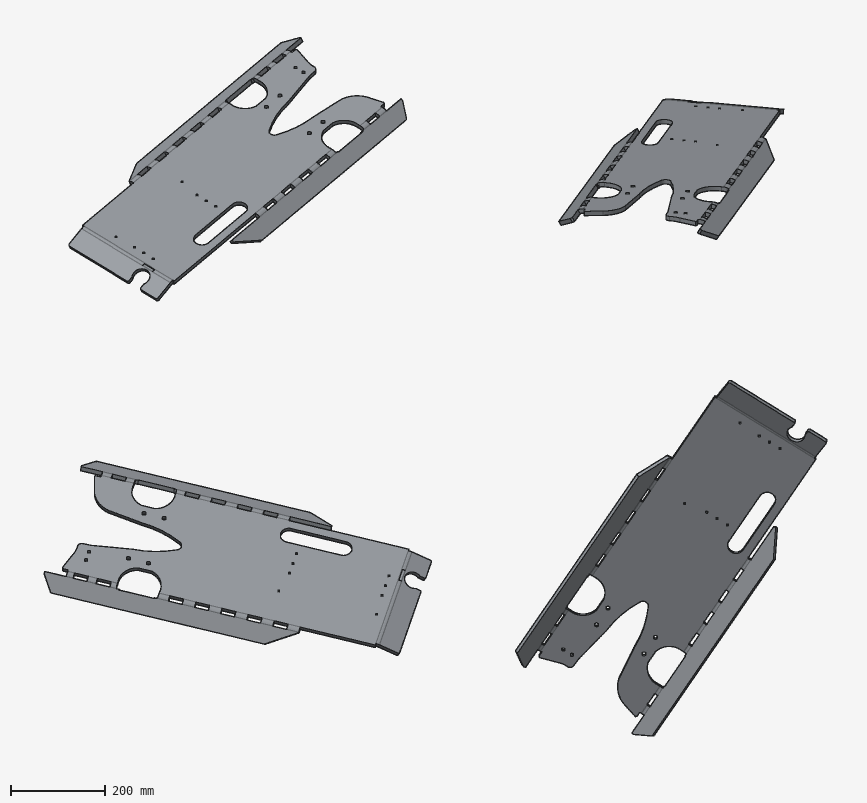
import cadquery as cq
import math


sheet = 10.0
bend_outer_radius = 23.0
wing_angle = 30.0
flange_angle = 20.0

half_length = 389.0
wing_half_span = 175.0

deck_half_width = 127.5
deck_end_y = -337.0
lobe_half_width = 124.0
lobe_root_y = 341.0
lobe_tip_y = 354.5
tip_corner = 2.0

wing_top_y = 365.5
wing_taper_y = -106.0
wing_shoulder = 5.0
left_shoulder = 1.0
slot_length = 30.0
slot_pitch = 57.5
left_slots = [311.0, 260.5] + [101.0 - i * slot_pitch for i in range(5)]
right_slots = [304.0] + [142.0 - i * slot_pitch for i in range(4)]
left_strip_end_y = -171.0
right_strip_end_y = -72.0
right_wing_end_y = -162.5

window_inner_x = 78.0
window_half_height = 46.0
window_flat_half = 15.0
window_corner = 6.0
window_bite = 1.5
left_window_y = 186.0
right_window_y = 223.0

mount_hole = 8.5
mount_hole_x = 60.0
mount_holes_y = (227.0, 183.0)
lobe_hole = 6.8
lobe_holes = [(-89.0, 312.0), (-67.0, 312.0)]
row_hole = 4.6
row_holes_x = (-1.5, 24.0, 50.5)
row_holes_y = (-111.0, -315.0)
pin_hole = 4.05
pin_holes = [(-51.0, -102.0), (-51.0, -317.0)]

handle_center = (91.0, -143.0)
handle_length = 156.0
handle_width = 36.0

flange_half_width = lobe_half_width
flange_corner = 4.0
keyhole_x = 60.0
keyhole_y = -366.0
keyhole_radius = 19.5
neck_half_width = 16.0
neck_corner = 3.0
relief_half_width = 14.0
relief_end_y = -338.0
relief_depth = 1.2


def bend_reach(angle):
    """Horizontal length of the outer face of a bend."""
    return bend_outer_radius * math.sin(math.radians(angle))


def bend_drop(angle):
    """Height lost along the outer face of a bend."""
    return bend_outer_radius * (1 - math.cos(math.radians(angle)))


def bent_strip(plane, angle, length):
    """Curved strip that leaves a flat edge at the plane origin and curls down by `angle`."""

    def on_arc(radius, degrees):
        turn = math.radians(degrees)
        return (radius * math.sin(turn), radius * math.cos(turn) - bend_outer_radius)

    inner_radius = bend_outer_radius - sheet
    return (
        cq.Workplane(plane)
        .moveTo(*on_arc(bend_outer_radius, 0))
        .threePointArc(on_arc(bend_outer_radius, angle / 2), on_arc(bend_outer_radius, angle))
        .lineTo(*on_arc(inner_radius, angle))
        .threePointArc(on_arc(inner_radius, angle / 2), on_arc(inner_radius, 0))
        .close()
        .extrude(length)
    )


def through_cutter(sketch):
    """Prism that passes through the deck and its bends from a closed outline at Z = 0."""
    return sketch.extrude(2 * sheet, both=True)


def round_holes(points, diameter):
    return through_cutter(cq.Workplane("XY").pushPoints(points).circle(diameter / 2))


def make_deck():
    nose = (11.0, 135.0)
    flank_middle = (25.0, 169.0)
    flank_end = (35.0, 225.0)
    return (
        cq.Workplane("XY")
        .moveTo(-deck_half_width, deck_end_y)
        .lineTo(deck_half_width, deck_end_y)
        .lineTo(deck_half_width, lobe_root_y)
        .lineTo(lobe_half_width, lobe_root_y)
        .lineTo(lobe_half_width, lobe_tip_y - tip_corner)
        .lineTo(lobe_half_width - tip_corner, lobe_tip_y)
        .lineTo(84.0, 344.0)
        .threePointArc((60.0, 328.0), (46.0, 302.0))
        .lineTo(*flank_end)
        .threePointArc(flank_middle, nose)
        .threePointArc((0, 127.5), (-nose[0], nose[1]))
        .threePointArc((-flank_middle[0], flank_middle[1]), (-flank_end[0], flank_end[1]))
        .lineTo(-50.0, 311.0)
        .lineTo(-50.5, 329.0)
        .threePointArc((-53.0, 336.0), (-61.0, 339.0))
        .threePointArc((-73.0, 340.0), (-84.0, 343.0))
        .lineTo(tip_corner - lobe_half_width, lobe_tip_y)
        .lineTo(-lobe_half_width, lobe_tip_y - tip_corner)
        .lineTo(-lobe_half_width, lobe_root_y)
        .lineTo(-deck_half_width, lobe_root_y)
        .close()
        .extrude(-sheet)
    )


wing_root_x = deck_half_width + bend_reach(wing_angle)


def make_window(center_y):
    """D-shaped cutter, rounded towards the deck centre."""
    outer_x = wing_root_x + window_bite
    arc_end_x = window_inner_x + 45.0
    arc_middle = (window_inner_x + 11.0, 33.8)
    sketch = (
        cq.Workplane("XY")
        .moveTo(outer_x, -window_half_height)
        .lineTo(outer_x, window_half_height)
        .lineTo(arc_end_x, window_half_height)
        .threePointArc(arc_middle, (window_inner_x, window_flat_half))
        .lineTo(window_inner_x, -window_flat_half)
        .threePointArc((arc_middle[0], -arc_middle[1]), (arc_end_x, -window_half_height))
        .close()
    )
    return through_cutter(sketch).edges("|Z and >X").fillet(window_corner).translate((0, center_y, 0))


def make_tabs(slots, end_y):
    """Bend between deck and wing, cut by slots into a row of tabs."""
    plane = cq.Plane(origin=(deck_half_width, lobe_root_y, 0), xDir=(1, 0, 0), normal=(0, -1, 0))
    strip = bent_strip(plane, wing_angle, lobe_root_y - end_y)
    cutters = (
        cq.Workplane("XY")
        .pushPoints([(wing_root_x, y) for y in slots])
        .rect(2 * bend_reach(wing_angle), slot_length)
    )
    return strip.cut(through_cutter(cutters))


def make_blade(end_shoulder, end_y, window_y):
    """Flat sloping part of the wing, with a shallow bite where the window meets it."""
    slope = math.radians(wing_angle)

    def along(x):
        return (x - wing_root_x) / math.cos(slope)

    plane = cq.Plane(
        origin=(wing_root_x, 0, -bend_drop(wing_angle)),
        xDir=(math.cos(slope), 0, -math.sin(slope)),
        normal=(math.sin(slope), 0, math.cos(slope)),
    )
    corners = [
        (0, half_length),
        (along(wing_root_x + wing_shoulder), half_length),
        (along(wing_half_span), wing_top_y),
        (along(wing_half_span), wing_taper_y),
        (along(wing_root_x + end_shoulder), end_y),
        (0, end_y),
    ]
    blade = cq.Workplane(plane).polyline(corners).close().extrude(-sheet)
    bite_length = 2 * (window_half_height - window_corner)
    bite = cq.Workplane(plane).center(0, window_y).rect(2 * window_bite, bite_length).extrude(-sheet)
    return blade.cut(bite)


def make_flange():
    slope = math.radians(flange_angle)
    root_y = deck_end_y - bend_reach(flange_angle)

    def along(y):
        return (root_y - y) / math.cos(slope)

    bend_plane = cq.Plane(origin=(flange_half_width, deck_end_y, 0), xDir=(0, -1, 0), normal=(-1, 0, 0))
    curl = bent_strip(bend_plane, flange_angle, 2 * flange_half_width)

    relief = (
        cq.Workplane("XY")
        .workplane(offset=-relief_depth)
        .center(keyhole_x, relief_end_y - bend_reach(flange_angle) / 2)
        .rect(2 * relief_half_width, bend_reach(flange_angle))
        .extrude(sheet)
    )

    length = along(-half_length)
    eye_y = -along(keyhole_y)
    plate = (
        cq.Workplane("XY")
        .moveTo(-flange_half_width, 0)
        .lineTo(flange_half_width, 0)
        .lineTo(flange_half_width, -length)
        .lineTo(keyhole_x + neck_half_width, -length)
        .lineTo(keyhole_x + neck_half_width, eye_y)
        .lineTo(keyhole_x - neck_half_width, eye_y)
        .lineTo(keyhole_x - neck_half_width, -length)
        .lineTo(-flange_half_width, -length)
        .close()
        .extrude(-sheet)
    )
    lip_edges = cq.selectors.BoxSelector(
        (keyhole_x - keyhole_radius, -length - sheet, -sheet),
        (keyhole_x + keyhole_radius, -length + sheet, sheet),
    )
    plate = plate.edges("|Z and <Y").edges(lip_edges).fillet(neck_corner)
    plate = plate.edges("|Z and (<X or >X)").edges("<Y").fillet(flange_corner)
    eye = cq.Workplane("XY").center(keyhole_x, eye_y).circle(keyhole_radius)
    plate = (
        plate.cut(through_cutter(eye))
        .rotate((0, 0, 0), (1, 0, 0), flange_angle)
        .translate((0, root_y, -bend_drop(flange_angle)))
    )
    return curl.cut(relief).union(plate)


def make_right_side(slots, strip_end_y, end_shoulder, end_y, window_y):
    tabs = make_tabs(slots, strip_end_y).cut(make_window(window_y))
    return tabs.union(make_blade(end_shoulder, end_y, window_y))


right_wing = make_right_side(
    right_slots, right_strip_end_y, wing_shoulder, right_wing_end_y, right_window_y
)
left_wing = make_right_side(
    left_slots, left_strip_end_y, left_shoulder, left_strip_end_y, left_window_y
).mirror("YZ")

handle_slot = through_cutter(
    cq.Workplane("XY").center(*handle_center).slot2D(handle_length, handle_width, 90)
)

deck = (
    make_deck()
    .cut(make_window(right_window_y))
    .cut(make_window(left_window_y).mirror("YZ"))
    .cut(handle_slot)
    .cut(round_holes([(side * mount_hole_x, y) for side in (-1, 1) for y in mount_holes_y], mount_hole))
    .cut(round_holes(lobe_holes, lobe_hole))
    .cut(round_holes([(x, y) for x in row_holes_x for y in row_holes_y], row_hole))
    .cut(round_holes(pin_holes, pin_hole))
)

result = deck.union(right_wing).union(left_wing).union(make_flange())